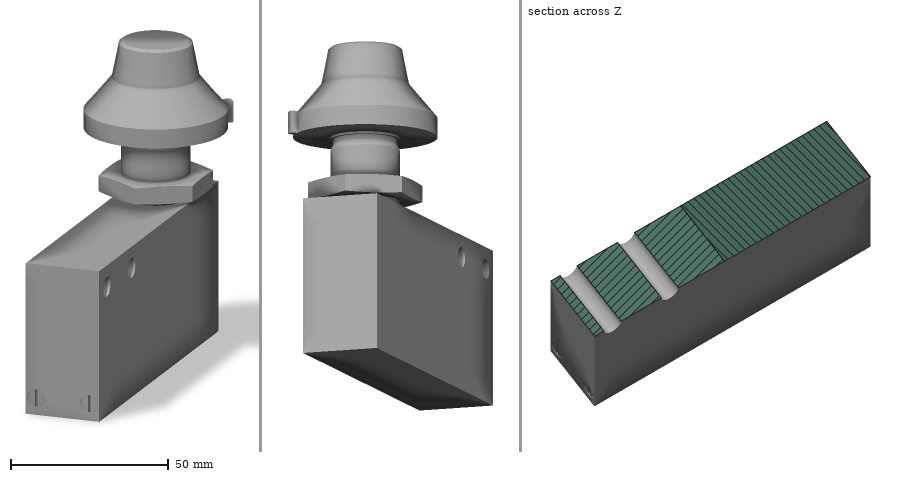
import cadquery as cq
import math


block_width = 25.0
block_height = 50.0
total_length = 106.0
valve_length = 50.0

cross_hole_diameter = 6.5
cross_hole_inset = 6.9
cross_hole_spacing = 22.0
cross_hole_drop = 7.1

screw_diameter = 5.9
screw_spacing = 18.1
screw_height = 5.5
screw_sink = 0.3
slot_width = 0.8
slot_depth = 1.1

stem_foot_top = 50.8
stem_shoulder = 68.7
stem_neck_bottom = 70.6
stem_neck_top = 72.2
knob_bottom = 72.9
rim_top = 79.2
grip_bottom = 90.0
grip_top = 101.2
knob_top = 102.0

stem_diameter = 22.0
stem_foot_diameter = 20.9
neck_diameter = 20.4
rim_diameter = 46.0
grip_bottom_diameter = 28.0
grip_top_diameter = 23.5
knob_top_diameter = 21.4

button_y = total_length - rim_diameter / 2

nut_across_flats = 32.0
nut_bottom = 52.2
nut_top = 58.2
nut_chamfer_diameter = 31.2
nut_chamfer_height = 0.4
nut_corner_diameter = nut_across_flats / math.cos(math.radians(30))

tab_angle = 37.0
tab_width = 3.0
tab_reach = 25.2
tab_top = 80.0


def revolve_about_button(profile):
    """Solid of revolution about the button axis from (radius, height) points."""
    return (
        cq.Workplane("XZ")
        .polyline(profile)
        .close()
        .revolve(360, (0, 0, 0), (0, 1, 0))
        .translate((0, button_y, 0))
    )


def make_block(front_y, length):
    return cq.Workplane("XY").box(
        block_width, length, block_height, centered=(True, False, False)
    ).translate((0, front_y, 0))


def make_cross_holes():
    return (
        cq.Workplane("YZ", origin=(-block_width / 2, 0, block_height - cross_hole_drop))
        .pushPoints([(cross_hole_inset, 0), (cross_hole_inset + cross_hole_spacing, 0)])
        .circle(cross_hole_diameter / 2)
        .extrude(block_width)
    )


def make_screw_recess(x):
    """Shallow round recess with a screwdriver slot across its floor."""
    face = cq.Workplane("XZ", origin=(x, 0, screw_height))
    recess = face.circle(screw_diameter / 2).extrude(-screw_sink)
    full_depth = screw_sink + slot_depth
    slot = face.rect(slot_width, screw_diameter).extrude(-full_depth)
    slot = slot.intersect(face.circle(screw_diameter / 2).extrude(-full_depth))
    return recess.union(slot)


def make_valve_body():
    body = make_block(0, valve_length).cut(make_cross_holes())
    for side in (-1, 1):
        body = body.cut(make_screw_recess(side * screw_spacing / 2))
    return body


def make_stem_and_knob():
    return revolve_about_button([
        (0, block_height),
        (stem_foot_diameter / 2, block_height),
        (stem_diameter / 2, stem_foot_top),
        (stem_diameter / 2, stem_shoulder),
        (neck_diameter / 2, stem_neck_bottom),
        (neck_diameter / 2, stem_neck_top),
        (stem_diameter / 2, stem_neck_top),
        (stem_diameter / 2, knob_bottom),
        (rim_diameter / 2, knob_bottom),
        (rim_diameter / 2, rim_top),
        (grip_bottom_diameter / 2, grip_bottom),
        (grip_top_diameter / 2, grip_top),
        (knob_top_diameter / 2, knob_top),
        (0, knob_top),
    ])


def make_nut():
    """Hexagon with flats facing +X and -X, its corners chamfered at both ends."""
    hexagon = (
        cq.Workplane("XY", origin=(0, button_y, nut_bottom))
        .transformed(rotate=(0, 0, 90))
        .polygon(6, nut_corner_diameter)
        .extrude(nut_top - nut_bottom)
    )
    chamfer_envelope = revolve_about_button([
        (0, nut_bottom),
        (nut_chamfer_diameter / 2, nut_bottom),
        (nut_corner_diameter / 2, nut_bottom + nut_chamfer_height),
        (nut_corner_diameter / 2, nut_top - nut_chamfer_height),
        (nut_chamfer_diameter / 2, nut_top),
        (0, nut_top),
    ])
    return hexagon.intersect(chamfer_envelope)


def make_index_tab():
    """Radial tab that starts on the button axis and stands out from the knob rim."""
    return (
        cq.Workplane("XY")
        .box(tab_reach, tab_width, tab_top - knob_bottom, centered=(False, True, False))
        .rotate((0, 0, 0), (0, 0, 1), tab_angle)
        .translate((0, button_y, knob_bottom))
    )


def make_button_body():
    body = make_block(valve_length, total_length - valve_length)
    for feature in (make_stem_and_knob(), make_nut(), make_index_tab()):
        body = body.union(feature)
    return body


valve_body = make_valve_body()
button_body = make_button_body()

result = cq.Compound.makeCompound([valve_body.val(), button_body.val()])